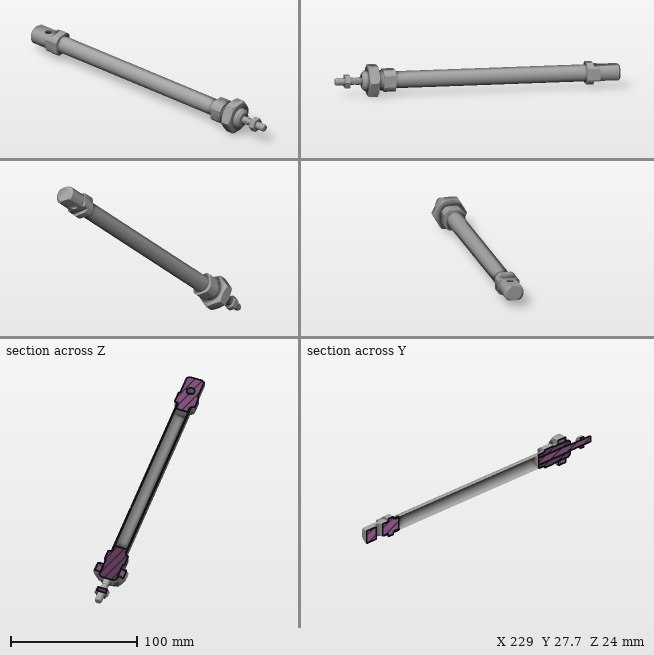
import cadquery as cq
import math


LENGTH = 229.0
REAR_COLLAR_START = 16.7
REAR_STEP = 21.8
REAR_COLLAR_END = 27.3
TUBE_START = 28.6
TUBE_END = 179.8
FRONT_COLLAR_START = 181.1
FRONT_COLLAR_END = 190.8
NUT_START = 194.9
FRONT_CAP_END = 207.7
JAM_NUT_START = 217.3

TUBE_DIAMETER = 13.5
BORE_DIAMETER = 12.0
SPIGOT_LENGTH = 4.5
COLLAR_WIDTH = 17.2
COLLAR_DIAMETER = 19.5
NECK_DIAMETER = 16.0
TONGUE_THICKNESS = 12.0
TONGUE_CHAMFER_LENGTH = 1.5
TONGUE_END_DIAMETER = TONGUE_THICKNESS
PIVOT_HOLE_X = 13.0
PIVOT_HOLE_DIAMETER = 6.0
THREAD_CHAMFER = 2.0

HEXAGON_HALF_ANGLE = 30

NUT_WIDTH = 24.0
NUT_THICKNESS = 8.2
NUT_CHAMFER_ANGLE = 30

ROD_DIAMETER = 6.0
ROD_TIP_CHAMFER_DEPTH = 0.5
ROD_TIP_CHAMFER_LENGTH = 1.1
WRENCH_FLATS_X = 213.2
WRENCH_FLATS_WIDTH = 5.0
WRENCH_FLATS_LENGTH = 4.8
GROOVE_DIAMETER = 5.3
GROOVE_WIDTH = 1.4
JAM_NUT_WIDTH = 10.0
JAM_NUT_THICKNESS = 4.1


def rod_along_x(start, end, diameter):
    """Plain cylinder on the X axis."""
    return cq.Workplane("YZ").workplane(offset=start).circle(diameter / 2).extrude(end - start)


def collar(start, end):
    """Square collar whose corners are turned to a circle."""
    square = (
        cq.Workplane("YZ").workplane(offset=start)
        .rect(COLLAR_WIDTH, COLLAR_WIDTH).extrude(end - start)
    )
    return square.intersect(rod_along_x(start, end, COLLAR_DIAMETER))


def make_rear_cap():
    tongue = (
        cq.Workplane("XY")
        .lineTo(0, TONGUE_END_DIAMETER / 2)
        .lineTo(TONGUE_CHAMFER_LENGTH, NECK_DIAMETER / 2)
        .lineTo(REAR_STEP, NECK_DIAMETER / 2)
        .lineTo(REAR_STEP, 0)
        .close()
        .revolve(360, (0, 0, 0), (1, 0, 0))
    )
    slab = cq.Workplane("XY").box(
        REAR_STEP, COLLAR_DIAMETER, TONGUE_THICKNESS, centered=(False, True, True)
    )
    flattened = tongue.union(collar(REAR_COLLAR_START, REAR_STEP)).intersect(slab)
    pivot_hole = (
        cq.Workplane("XY").center(PIVOT_HOLE_X, 0)
        .circle(PIVOT_HOLE_DIAMETER / 2).extrude(TONGUE_THICKNESS / 2, both=True)
    )
    return (
        flattened
        .union(collar(REAR_STEP, REAR_COLLAR_END))
        .union(rod_along_x(REAR_COLLAR_END, TUBE_START, TUBE_DIAMETER))
        .union(rod_along_x(TUBE_START, TUBE_START + SPIGOT_LENGTH, BORE_DIAMETER))
        .cut(pivot_hole)
    )


def make_tube():
    return rod_along_x(TUBE_START, TUBE_END, TUBE_DIAMETER).cut(
        rod_along_x(TUBE_START, TUBE_END, BORE_DIAMETER)
    )


def make_front_cap():
    thread = (
        rod_along_x(FRONT_COLLAR_END, FRONT_CAP_END, NECK_DIAMETER)
        .faces(">X").chamfer(THREAD_CHAMFER)
    )
    spigot_start = TUBE_END - SPIGOT_LENGTH
    return (
        thread
        .union(collar(FRONT_COLLAR_START, FRONT_COLLAR_END))
        .union(rod_along_x(TUBE_END, FRONT_COLLAR_START, TUBE_DIAMETER))
        .union(rod_along_x(spigot_start, TUBE_END, BORE_DIAMETER))
        .cut(rod_along_x(spigot_start, FRONT_CAP_END, ROD_DIAMETER))
    )


def make_nut(start, thickness, width, bore):
    """Sharp-edged hexagon nut with flats facing +Z and -Z."""
    corner_diameter = width / math.cos(math.radians(HEXAGON_HALF_ANGLE))
    hexagon = (
        cq.Workplane("YZ").workplane(offset=start)
        .polygon(6, corner_diameter).extrude(thickness)
    )
    return hexagon.cut(rod_along_x(start, start + thickness, bore))


def chamfer_nut(nut, start, thickness, width):
    """Cone both faces of a nut down to its inscribed circle."""
    corner_radius = width / 2 / math.cos(math.radians(HEXAGON_HALF_ANGLE))
    chamfer_depth = (corner_radius - width / 2) * math.tan(math.radians(NUT_CHAMFER_ANGLE))
    end = start + thickness
    envelope = (
        cq.Workplane("XY")
        .moveTo(start, 0)
        .lineTo(start, width / 2)
        .lineTo(start + chamfer_depth, corner_radius)
        .lineTo(end - chamfer_depth, corner_radius)
        .lineTo(end, width / 2)
        .lineTo(end, 0)
        .close()
        .revolve(360, (0, 0, 0), (1, 0, 0))
    )
    return nut.intersect(envelope)


def make_piston_rod():
    rod = (
        rod_along_x(TUBE_END - SPIGOT_LENGTH, LENGTH, ROD_DIAMETER)
        .faces(">X").chamfer(ROD_TIP_CHAMFER_LENGTH, ROD_TIP_CHAMFER_DEPTH)
    )
    flats_start = WRENCH_FLATS_X - WRENCH_FLATS_LENGTH / 2
    flats_end = WRENCH_FLATS_X + WRENCH_FLATS_LENGTH / 2
    between_flats = cq.Workplane("XY").center(WRENCH_FLATS_X, 0).box(
        WRENCH_FLATS_LENGTH, WRENCH_FLATS_WIDTH, ROD_DIAMETER
    )
    flats_waste = rod_along_x(flats_start, flats_end, ROD_DIAMETER).cut(between_flats)
    groove_start = WRENCH_FLATS_X - GROOVE_WIDTH / 2
    groove_end = WRENCH_FLATS_X + GROOVE_WIDTH / 2
    groove = rod_along_x(groove_start, groove_end, ROD_DIAMETER).cut(
        rod_along_x(groove_start, groove_end, GROOVE_DIAMETER)
    )
    return rod.cut(flats_waste).cut(groove)


rear_cap = make_rear_cap()
tube = make_tube()
front_cap = make_front_cap()
mounting_nut = chamfer_nut(
    make_nut(NUT_START, NUT_THICKNESS, NUT_WIDTH, NECK_DIAMETER),
    NUT_START, NUT_THICKNESS, NUT_WIDTH,
)
piston_rod = make_piston_rod()
jam_nut = make_nut(JAM_NUT_START, JAM_NUT_THICKNESS, JAM_NUT_WIDTH, ROD_DIAMETER)

result = cq.Compound.makeCompound([
    rear_cap.val(),
    tube.val(),
    front_cap.val(),
    mounting_nut.val(),
    piston_rod.val(),
    jam_nut.val(),
])